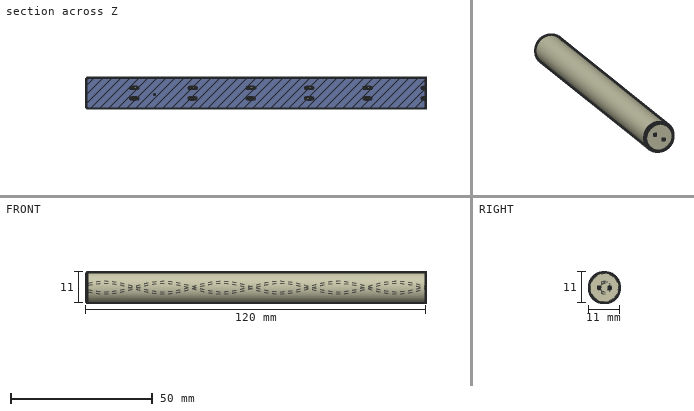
import cadquery as cq
import math

length = 120.0
diameter = 11.0
chamfer = 0.55

channel_diameter = 0.8
channel_circle_diameter = 3.75
start_angle = 31.0
helix_angle = 40.0

full_turn = 360.0
channel_count = 2
helix_pitch = math.pi * diameter / math.tan(math.radians(helix_angle))
twist = full_turn * length / helix_pitch

start_plane = cq.Workplane("YZ", origin=(-length, 0, 0))


def make_rod():
    """Plain round bar with a chamfer on the -X end only."""
    rod = start_plane.circle(diameter / 2).extrude(length)
    return rod.faces("<X").chamfer(chamfer)


def make_channel(angle):
    """Cutter for one channel: an off-axis circle twisted along the rod."""
    radius = channel_circle_diameter / 2
    y = radius * math.cos(math.radians(angle))
    z = radius * math.sin(math.radians(angle))
    section = start_plane.moveTo(y, z).circle(channel_diameter / 2)
    return section.twistExtrude(length, twist)


result = make_rod()
for index in range(channel_count):
    channel_angle = start_angle + index * full_turn / channel_count
    result = result.cut(make_channel(channel_angle))